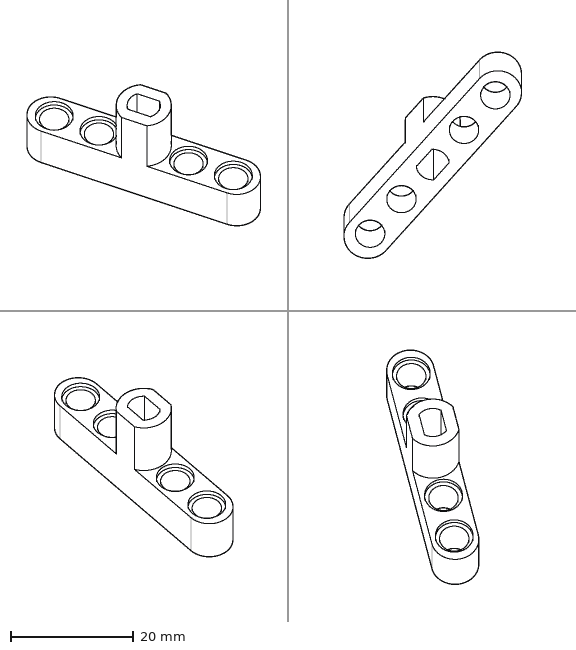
import cadquery as cq

beam_length = 41.0
beam_width = 7.8
beam_height = 7.8

hole_pitch = 8.0
hole_diameter = 4.8
counterbore_diameter = 6.2
counterbore_depth = 0.8

total_height = 17.8
post_diameter = 9.0
bore_diameter = 5.4
bore_flat_width = 3.7


def flatted_cylinder(diameter, flat_width, height):
    """Upright cylinder cut by two flats facing -Y and +Y."""
    cylinder = cq.Workplane("XY").circle(diameter / 2).extrude(height)
    flats = cq.Workplane("XY").rect(diameter, flat_width).extrude(height)
    return cylinder.intersect(flats)


beam = cq.Workplane("XY").slot2D(beam_length, beam_width).extrude(beam_height)

hole_centers = [(step * hole_pitch, 0) for step in (-2, -1, 1, 2)]
beam = (
    beam.faces(">Z").workplane()
    .pushPoints(hole_centers)
    .cboreHole(hole_diameter, counterbore_diameter, counterbore_depth)
)

post = flatted_cylinder(post_diameter, beam_width, total_height)

bore = flatted_cylinder(bore_diameter, bore_flat_width, total_height)

result = beam.union(post).cut(bore)